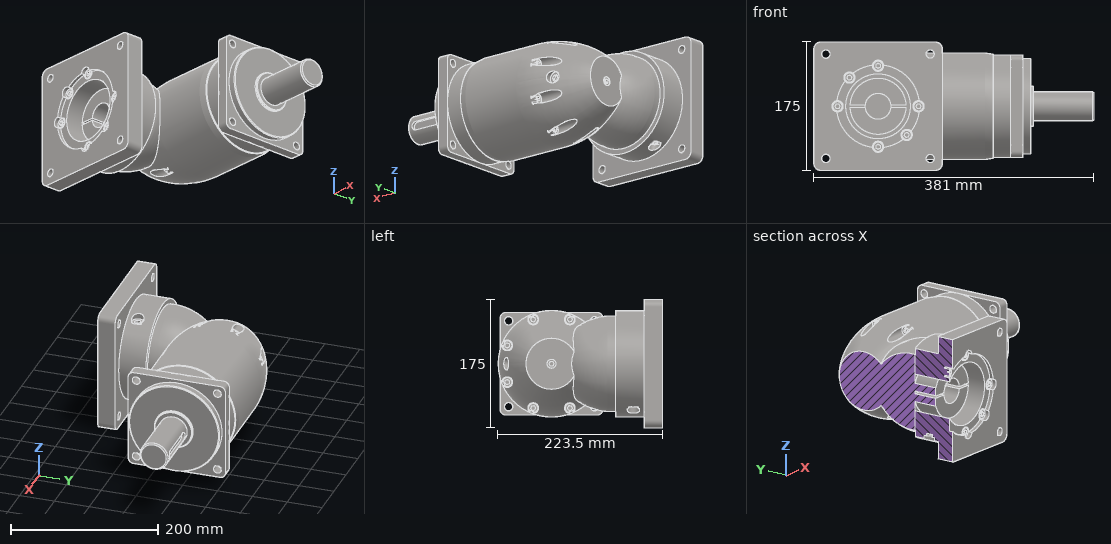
import cadquery as cq
import math


overall_length_x = 381.0
overall_length_y = 223.5
plate_size = 175.0

barrel_diameter = 145.0
barrel_radius = barrel_diameter / 2
barrel_end_x = -44.5
barrel_end_radius = 34.5
barrel_round_x = 56.0
neck_start_x = 145.5
neck_end_x = 156.2
neck_end_radius = 71.0
neck_step = 0.8
flange_size = 140.0
flange_hub_radius = flange_size / 2
flange_x = 180.2
flange_thickness = 16.5
flange_corner_radius = 8.0
flange_hole_pitch = 116.5
pilot_diameter = 130.0
pilot_end_x = 208.0
pilot_chamfer = 1.0
shoulder_radius = 27.5
shoulder_end_x = 211.5
shoulder_chamfer = 1.0

shaft_diameter = 40.0
shaft_radius = shaft_diameter / 2
shaft_end_x = overall_length_x - plate_size / 2
shaft_chamfer = 2.0
key_width = 12.2
key_depth = 5.0
key_length = 65.5
key_start_x = 220.2

elbow_radius = 65.0
elbow_inner_y = -21.0
elbow_inner_radius = 38.5
elbow_bulge = 5.7
elbow_curve_y = -76.5
elbow_mouth_y = -87.2

hub_radius = 38.0
hub_face_y = -122.3
motor_shaft_diameter = 35.0
motor_shaft_depth = 45.7
clamp_slot_width = 3.0

collar_radius = 72.5
plate_thickness = 25.0
plate_corner_radius = 10.0
plate_hole_pitch = 141.7
motor_face_y = barrel_radius - overall_length_y
plate_back_y = motor_face_y + plate_thickness
motor_pilot_diameter = 112.8
motor_pilot_depth = 5.7
adapter_bore_diameter = 88.0

mounting_hole_diameter = 11.0
screw_head_diameter = 12.5
screw_head_height = 8.0
hex_width = 6.0
hex_depth = 4.0
barrel_screw_circle_radius = 65.0
barrel_screw_angles = [22.5, 67.5, 112.5, 247.5, 292.5, 337.5]
barrel_pocket_diameter = 14.5
barrel_pocket_floor_x = 34.3
adapter_screw_circle_diameter = 110.0
adapter_screw_circle_radius = adapter_screw_circle_diameter / 2
adapter_screw_angles = [0, 90, 135, 180, 270, 315]
adapter_pocket_diameter = 15.2

side_plug_diameter = 16.8
access_plug_x = 35.5
access_plug_y = -111.3
access_plug_z = 58.5
side_hex_width = 8.0
top_plug_y = 56.5
end_plug_diameter = 12.2
end_plug_recess = 0.8


def axial_plane(origin, x_direction, normal):
    return cq.Workplane(cq.Plane(origin=origin, xDir=x_direction, normal=normal))


def hex_socket(top, width):
    """Hexagonal socket going down from a screw or plug top, one corner along local x."""
    return top.polygon(6, width / math.cos(math.pi / 6)).extrude(-hex_depth)


def screw_pocket(floor, diameter, length):
    """Space cut for a sunk cap screw: a pocket around its head, and the head's socket."""
    pocket = floor.circle(diameter / 2).extrude(length)
    head = floor.circle(screw_head_diameter / 2).extrude(screw_head_height)
    head_top = floor.workplane(offset=screw_head_height)
    return pocket.cut(head).union(hex_socket(head_top, hex_width))


def plug_recess(plug_face, diameter, length, socket_width):
    """Round recess down to the plug's face, and the socket in that face."""
    return plug_face.circle(diameter / 2).extrude(length).union(hex_socket(plug_face, socket_width))


def square_hole_pattern(workplane, pitch, depth):
    return workplane.rect(pitch, pitch, forConstruction=True).vertices().circle(
        mounting_hole_diameter / 2
    ).extrude(depth)



def barrel():
    run = barrel_round_x - barrel_end_x
    rise = barrel_radius - barrel_end_radius
    round_radius = (run**2 + rise**2) / (2 * rise)
    middle_x = (barrel_end_x + barrel_round_x) / 2
    middle_drop = round_radius - math.sqrt(round_radius**2 - (run / 2) ** 2)
    return (
        cq.Workplane("XY")
        .moveTo(barrel_end_x, 0)
        .lineTo(barrel_end_x, barrel_end_radius)
        .threePointArc((middle_x, barrel_radius - middle_drop), (barrel_round_x, barrel_radius))
        .lineTo(neck_start_x, barrel_radius)
        .lineTo(neck_end_x, neck_end_radius)
        .lineTo(neck_end_x + neck_step, flange_hub_radius)
        .lineTo(flange_x, flange_hub_radius)
        .lineTo(flange_x, 0)
        .close()
        .revolve(360, (0, 0, 0), (1, 0, 0))
    )


def barrel_screw_pockets():
    length = barrel_pocket_floor_x - barrel_end_x
    pockets = cq.Workplane("XY")
    for angle in barrel_screw_angles:
        y = math.cos(math.radians(angle))
        z = math.sin(math.radians(angle))
        center = (barrel_pocket_floor_x, barrel_screw_circle_radius * y, barrel_screw_circle_radius * z)
        floor = axial_plane(center, (0, y, z), (-1, 0, 0))
        pockets = pockets.add(screw_pocket(floor, barrel_pocket_diameter, length))
    return pockets.combine()


def elbow():
    return (
        cq.Workplane("XY")
        .moveTo(0, elbow_mouth_y)
        .lineTo(elbow_radius, elbow_mouth_y)
        .lineTo(elbow_radius, elbow_curve_y)
        .sagittaArc((elbow_inner_radius, elbow_inner_y), -elbow_bulge)
        .lineTo(0, elbow_inner_y)
        .close()
        .revolve(360, (0, 0, 0), (0, 1, 0))
    )


def output_flange():
    back = cq.Workplane("YZ", origin=(flange_x, 0, 0))
    flange = back.rect(flange_size, flange_size).extrude(flange_thickness)
    flange = flange.edges("|X").fillet(flange_corner_radius)
    flange = flange.cut(square_hole_pattern(back, flange_hole_pitch, flange_thickness))
    pilot = back.circle(pilot_diameter / 2).extrude(pilot_end_x - flange_x)
    return flange.union(pilot.faces(">X").chamfer(pilot_chamfer))


def output_shaft():
    start = cq.Workplane("YZ", origin=(flange_x, 0, 0))
    shoulder = start.circle(shoulder_radius).extrude(shoulder_end_x - flange_x)
    shoulder = shoulder.faces(">X").chamfer(shoulder_chamfer)
    shaft = start.circle(shaft_radius).extrude(shaft_end_x - flange_x)
    shaft = shaft.faces(">X").chamfer(shaft_chamfer)
    keyway_floor = (key_start_x + key_length / 2, shaft_radius - key_depth, 0)
    keyway = axial_plane(keyway_floor, (1, 0, 0), (0, 1, 0)).slot2D(key_length, key_width).extrude(
        2 * key_depth
    )
    return shoulder.union(shaft).cut(keyway)


def clamping_hub():
    hub_face = axial_plane((0, hub_face_y, 0), (1, 0, 0), (0, 1, 0))
    hub_length = elbow_mouth_y - hub_face_y
    hub = hub_face.circle(hub_radius).extrude(hub_length)
    return hub.cut(hub_face.rect(2 * hub_radius, clamp_slot_width).extrude(hub_length))


def motor_shaft_bore():
    hub_face = axial_plane((0, hub_face_y, 0), (1, 0, 0), (0, 1, 0))
    return hub_face.circle(motor_shaft_diameter / 2).extrude(motor_shaft_depth)


def end_plug_cut():
    face = axial_plane((barrel_end_x + end_plug_recess, 0, 0), (0, 1, 0), (-1, 0, 0))
    return plug_recess(face, end_plug_diameter, end_plug_recess, hex_width)


def top_plug_cut():
    face = axial_plane((0, top_plug_y, 0), (1, 0, 0), (0, 1, 0))
    return plug_recess(face, side_plug_diameter, barrel_radius - top_plug_y, side_hex_width)


def make_housing():
    return (
        barrel()
        .cut(barrel_screw_pockets())
        .union(elbow())
        .union(clamping_hub())
        .union(output_flange())
        .union(output_shaft())
        .cut(motor_shaft_bore())
        .cut(end_plug_cut())
        .cut(top_plug_cut())
    )



def square_plate():
    back = axial_plane((0, plate_back_y, 0), (1, 0, 0), (0, -1, 0))
    plate = back.rect(plate_size, plate_size).extrude(plate_thickness)
    plate = plate.edges("|Y").fillet(plate_corner_radius)
    return plate.cut(square_hole_pattern(back, plate_hole_pitch, plate_thickness))


def motor_openings():
    """Bore all the way through the adapter, and the wider recess for the motor pilot."""
    motor_face = axial_plane((0, motor_face_y, 0), (1, 0, 0), (0, 1, 0))
    bore = motor_face.circle(adapter_bore_diameter / 2).extrude(elbow_mouth_y - motor_face_y)
    return bore.union(motor_face.circle(motor_pilot_diameter / 2).extrude(motor_pilot_depth))


def adapter_screw_pockets():
    depth = motor_pilot_depth + screw_head_height
    pockets = cq.Workplane("XY")
    for angle in adapter_screw_angles:
        x = math.cos(math.radians(angle))
        z = math.sin(math.radians(angle))
        center = (adapter_screw_circle_radius * x, motor_face_y + depth, adapter_screw_circle_radius * z)
        floor = axial_plane(center, (x, 0, z), (0, -1, 0))
        pockets = pockets.add(screw_pocket(floor, adapter_pocket_diameter, depth))
    return pockets.combine()


def access_plug_cuts():
    """Recesses of the two access plugs, opposite each other about the motor axis."""
    cuts = cq.Workplane("XY")
    for side in (1, -1):
        center = (side * access_plug_x, access_plug_y, side * access_plug_z)
        face = axial_plane(center, (0, 1, 0), (0, 0, side))
        cuts = cuts.add(
            plug_recess(face, side_plug_diameter, collar_radius - access_plug_z, side_hex_width)
        )
    return cuts.combine()


def make_adapter():
    mouth = axial_plane((0, elbow_mouth_y, 0), (1, 0, 0), (0, -1, 0))
    collar = mouth.circle(collar_radius).extrude(elbow_mouth_y - plate_back_y)
    return (
        collar
        .union(square_plate())
        .cut(motor_openings())
        .cut(adapter_screw_pockets())
        .cut(access_plug_cuts())
    )


housing = make_housing()
adapter = make_adapter()

result = cq.Compound.makeCompound([housing.val(), adapter.val()])